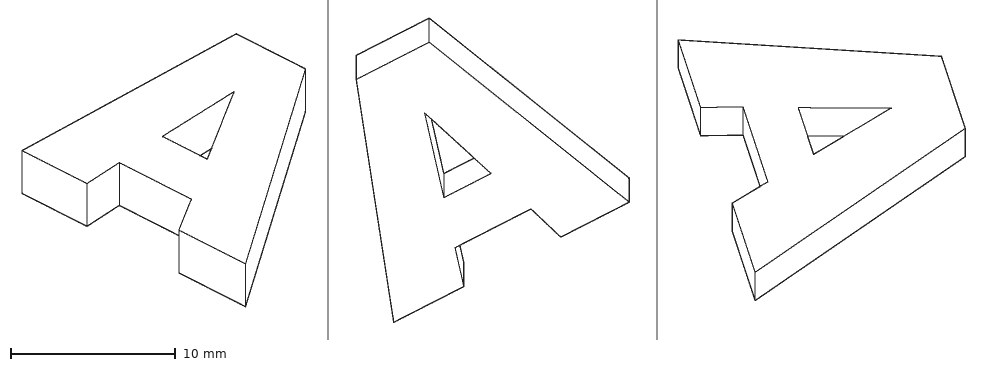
import cadquery as cq

width = 16.33
height = 15.0
thickness = 4.0

top_left = 5.63
top_right = 10.7

notch_depth = 2.48
notch_foot_left = 4.75
notch_foot_right = 11.46
notch_top_left = 5.45
notch_top_right = 10.71

window_base = 5.68
window_apex = 11.09
window_left = 6.47
window_right = 9.73
window_center = (window_left + window_right) / 2

outline = [
    (0, 0),
    (notch_foot_left, 0),
    (notch_top_left, notch_depth),
    (notch_top_right, notch_depth),
    (notch_foot_right, 0),
    (width, 0),
    (top_right, height),
    (top_left, height),
]
window = [
    (window_left, window_base),
    (window_right, window_base),
    (window_center, window_apex),
]

letter = cq.Workplane("XY").polyline(outline).close().extrude(thickness)
window_cut = cq.Workplane("XY").polyline(window).close().extrude(thickness)
result = letter.cut(window_cut)